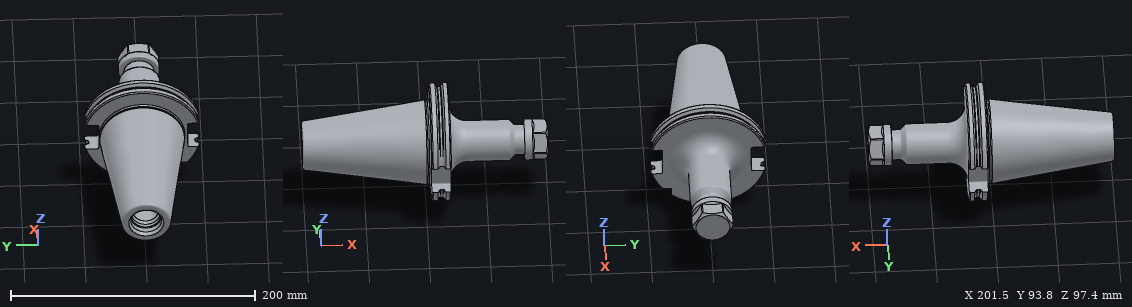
import cadquery as cq
import math


TOTAL_LENGTH = 201.5
GAUGE_X = 101.2
GAUGE_RADIUS = 34.9
TAPER_SLOPE = 7 / 48
END_ROUND = 2.0
RELIEF_RADIUS = 34.5
RELIEF_FLOOR_START = 102.2
RELIEF_FLOOR_END = 103.5
FLANGE_ROOT_RADIUS = 35.3

FLANGE_START = 104.8
FLANGE_END = 120.8
FLANGE_RADIUS = 48.69
FLANGE_CHAMFER = 1.0
GROOVE_CENTER_X = 113.0
GROOVE_FLOOR_RADIUS = 45.5
GROOVE_FLOOR_HALF = 1.5
GROOVE_FLOOR_FILLET = 0.8
GROOVE_WALL_ANGLE = 30.0
SLOT_HALF_WIDTH = 13.0
SLOT_FLOOR_FRONT = 37.5
SLOT_FLOOR_BACK = 35.5
SLOT_CORNER_RADIUS = 1.6
NOTCH_OFFSET = 30.0
NOTCH_CORNER_RADIUS = 1.2

SHANK_RADIUS = 17.0
SHANK_FILLET = 15.0
SHANK_END = 170.2
NECK_RADIUS = 12.5
SHOULDER_ROUND = 1.0

NUT_START = 182.2
COLLAR_END = 188.7
COLLAR_ROUND = 1.2
HEX_SIDES = 6
HEX_APOTHEM = 15.0
HEX_CONE_LENGTH = 1.6
NUT_END_CONE_LENGTH = 2.0
NUT_END_RADIUS = 14.0

LIP_RADIUS = 14.3
LIP_CHAMFER = 0.5
MOUTH_DEPTH = 2.8
PILOT_RADIUS = 12.5
PILOT_DEPTH = 7.5
THREAD_RADIUS = 11.9
THREAD_START = 8.3
THREAD_END = 10.3
RUNOUT_RADIUS = 11.7
RUNOUT_END = 11.0
DRILL_RADIUS = 10.0
DRILL_START = 13.5
DRILL_DEPTH = 48.4
DRILL_POINT_ANGLE = 60.0


def revolve_about_x(outline):
    return outline.close().revolve(360, (0, 0, 0), (1, 0, 0))


def taper_radius(x):
    return GAUGE_RADIUS - (GAUGE_X - x) * TAPER_SLOPE


def turned_body():
    taper_angle = math.atan(TAPER_SLOPE)
    round_center_radius = taper_radius(END_ROUND) - END_ROUND / math.cos(taper_angle)
    tangent_x = END_ROUND * (1 - math.sin(taper_angle))
    outline = (
        cq.Workplane("XY")
        .lineTo(0, round_center_radius)
        .radiusArc((tangent_x, taper_radius(tangent_x)), END_ROUND)
        .lineTo(GAUGE_X, GAUGE_RADIUS)
        .lineTo(RELIEF_FLOOR_START, RELIEF_RADIUS)
        .lineTo(RELIEF_FLOOR_END, RELIEF_RADIUS)
        .lineTo(FLANGE_START, FLANGE_ROOT_RADIUS)
        .lineTo(FLANGE_START, FLANGE_RADIUS - FLANGE_CHAMFER)
        .lineTo(FLANGE_START + FLANGE_CHAMFER, FLANGE_RADIUS)
        .lineTo(FLANGE_END - FLANGE_CHAMFER, FLANGE_RADIUS)
        .lineTo(FLANGE_END, FLANGE_RADIUS - FLANGE_CHAMFER)
        .lineTo(FLANGE_END, SHANK_RADIUS + SHANK_FILLET)
        .radiusArc((FLANGE_END + SHANK_FILLET, SHANK_RADIUS), -SHANK_FILLET)
        .lineTo(SHANK_END, SHANK_RADIUS)
        .lineTo(SHANK_END + SHANK_RADIUS - NECK_RADIUS, NECK_RADIUS)
        .lineTo(NUT_START, NECK_RADIUS)
        .lineTo(NUT_START, 0)
    )
    shoulder_end = SHANK_END + SHANK_RADIUS - NECK_RADIUS
    shoulder_edges = cq.selectors.BoxSelector(
        (SHANK_END - SHOULDER_ROUND, -SHANK_RADIUS, -SHANK_RADIUS),
        (shoulder_end + SHOULDER_ROUND, SHANK_RADIUS, SHANK_RADIUS),
    )
    return revolve_about_x(outline).edges(shoulder_edges).edges("%CIRCLE").fillet(SHOULDER_ROUND)


def gripper_groove():
    wall_run = (FLANGE_RADIUS - GROOVE_FLOOR_RADIUS) * math.tan(math.radians(GROOVE_WALL_ANGLE))
    top_half = GROOVE_FLOOR_HALF + wall_run
    outline = (
        cq.Workplane("XY")
        .moveTo(GROOVE_CENTER_X - GROOVE_FLOOR_HALF, GROOVE_FLOOR_RADIUS)
        .lineTo(GROOVE_CENTER_X + GROOVE_FLOOR_HALF, GROOVE_FLOOR_RADIUS)
        .lineTo(GROOVE_CENTER_X + top_half, FLANGE_RADIUS)
        .lineTo(GROOVE_CENTER_X - top_half, FLANGE_RADIUS)
    )
    floor_edges = cq.selectors.RadiusNthSelector(0)
    return revolve_about_x(outline).edges("%CIRCLE").edges(floor_edges).fillet(GROOVE_FLOOR_FILLET)


def drive_slot(side, floor):
    """Slot through the flange; side is -1 for -Y and +1 for +Y."""
    length = FLANGE_END - FLANGE_START
    depth = FLANGE_RADIUS - floor
    return (
        cq.Workplane("XY")
        .box(length, depth, 2 * SLOT_HALF_WIDTH)
        .edges("|X").edges(">Y" if side < 0 else "<Y")
        .fillet(SLOT_CORNER_RADIUS)
        .translate((FLANGE_START + length / 2, side * (floor + depth / 2), 0))
    )


def orientation_notch():
    length = FLANGE_END - FLANGE_START
    depth = FLANGE_RADIUS - NOTCH_OFFSET
    return (
        cq.Workplane("XY")
        .box(length, depth, depth, centered=False)
        .edges("|X and >Y and >Z")
        .fillet(NOTCH_CORNER_RADIUS)
        .translate((FLANGE_START, -FLANGE_RADIUS, -FLANGE_RADIUS))
    )


def drawbar_bore():
    point_length = DRILL_RADIUS / math.tan(math.radians(DRILL_POINT_ANGLE))
    outline = (
        cq.Workplane("XY")
        .lineTo(0, LIP_RADIUS)
        .lineTo(LIP_CHAMFER, LIP_RADIUS - LIP_CHAMFER)
        .lineTo(MOUTH_DEPTH, PILOT_RADIUS)
        .lineTo(PILOT_DEPTH, PILOT_RADIUS)
        .lineTo(THREAD_START, THREAD_RADIUS)
        .lineTo(THREAD_END, THREAD_RADIUS)
        .lineTo(RUNOUT_END, RUNOUT_RADIUS)
        .lineTo(DRILL_START, DRILL_RADIUS)
        .lineTo(DRILL_DEPTH, DRILL_RADIUS)
        .lineTo(DRILL_DEPTH + point_length, 0)
    )
    return revolve_about_x(outline)


def make_holder():
    return (
        turned_body()
        .cut(gripper_groove())
        .cut(drive_slot(-1, SLOT_FLOOR_FRONT))
        .cut(drive_slot(1, SLOT_FLOOR_BACK))
        .cut(orientation_notch())
        .cut(drawbar_bore())
    )


def make_nut():
    blank = revolve_about_x(
        cq.Workplane("XY")
        .moveTo(NUT_START, 0)
        .lineTo(NUT_START, SHANK_RADIUS - COLLAR_ROUND)
        .radiusArc((NUT_START + COLLAR_ROUND, SHANK_RADIUS), COLLAR_ROUND)
        .lineTo(TOTAL_LENGTH - NUT_END_CONE_LENGTH, SHANK_RADIUS)
        .lineTo(TOTAL_LENGTH, NUT_END_RADIUS)
        .lineTo(TOTAL_LENGTH, 0)
    )
    collar = revolve_about_x(
        cq.Workplane("XY")
        .moveTo(NUT_START, 0)
        .lineTo(NUT_START, SHANK_RADIUS)
        .lineTo(COLLAR_END, SHANK_RADIUS)
        .lineTo(COLLAR_END + HEX_CONE_LENGTH, HEX_APOTHEM)
        .lineTo(COLLAR_END + HEX_CONE_LENGTH, 0)
    )
    hexagon = (
        cq.Workplane(cq.Plane(origin=(NUT_START, 0, 0), xDir=(0, 0, 1), normal=(1, 0, 0)))
        .polygon(HEX_SIDES, 2 * HEX_APOTHEM, circumscribed=True)
        .extrude(TOTAL_LENGTH - NUT_START)
    )
    return blank.intersect(hexagon.union(collar))


holder = make_holder()
nut = make_nut()
result = cq.Compound.makeCompound([holder.val(), nut.val()])